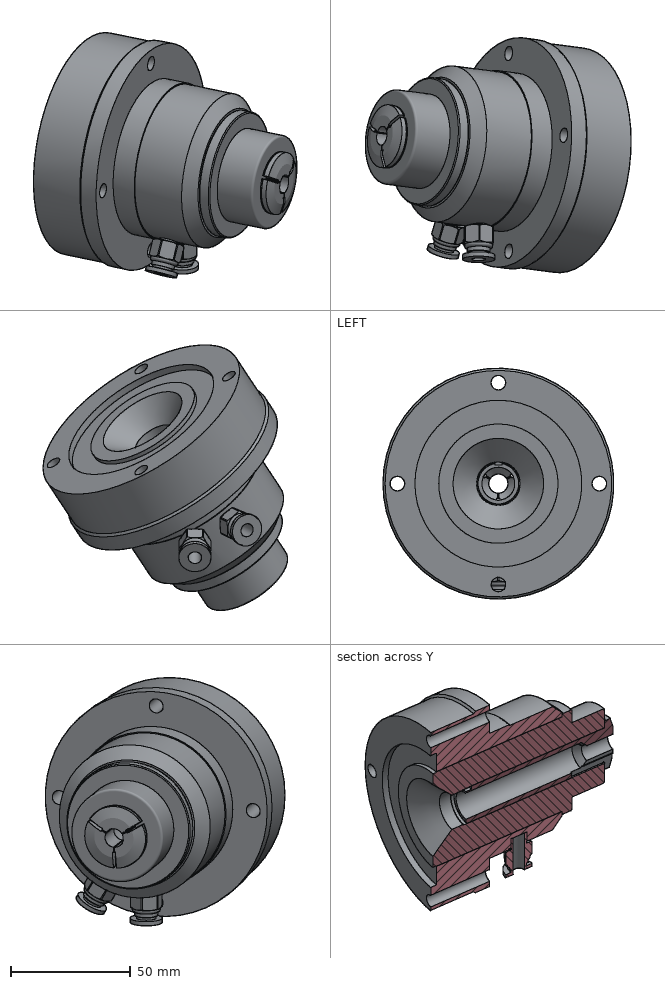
import cadquery as cq
import math


FLANGE_RADIUS = 48.5
BASE_RADIUS = 47.5
BASE_LENGTH = 22.1
FLANGE_FRONT = 30.5
COLLAR_RADIUS = 33.5
COLLAR_FRONT = 40.5
BARREL_RADIUS = 33.0
BARREL_FRONT = 62.9
HOUSING_FRONT = 67.8
SHOULDER_END_RADIUS = 27.6
RECESS_RADIUS = 35.0
RECESS_DEPTH = 3.0

MOUNT_HOLE_RADIUS = 3.0
MOUNT_CIRCLE_RADIUS = 42.4
MOUNT_HOLE_COUNT = 4

SPINDLE_RADIUS = 25.0
SPINDLE_REAR = 1.2
CONE_MOUTH_RADIUS = 19.0
CONE_END = 11.0
SPINDLE_BORE_RADIUS = 9.0
COLLET_SEAT_RADIUS = 9.3
COLLET_SEAT_START = 16.9
SPINDLE_FLANGE_RADIUS = 27.0
SPINDLE_FLANGE_FRONT = 72.8
SPINDLE_FLANGE_CHAMFER = 0.5
NOSE_RADIUS = 20.0
NOSE_FRONT = 89.7
NOSE_FILLET = 1.0

COLLET_REAR = 18.0
COLLET_REAR_CHAMFER = 0.8
COLLET_BACK_BORE_RADIUS = 6.9
COLLET_GRIP_RADIUS = 4.0
KEYWAY_WIDTH = 3.0
KEYWAY_LENGTH = 3.0
KEYWAY_FLOOR_RADIUS = 7.9
COLLET_CONE_START = 77.6
COLLET_CONE_END = 80.5
HEAD_NECK_RADIUS = 13.2
HEAD_NECK_LENGTH = 0.6
HEAD_RADIUS = 13.3
HEAD_TAPER_START = 92.5
HEAD_TIP_RADIUS = 8.5
COLLET_TIP = 94.0

SLOT_COUNT = 3
SLOT_START = 72.75
SLOT_NARROW_WIDTH = 0.5
SLOT_WIDE_WIDTH = 1.4
SLOT_STEP_RADIUS = 6.2

FITTING_STUB_RADIUS = 4.0
FITTING_STUB_START = 28.0
HEX_START = 33.7
HEX_END = 41.2
HEX_ACROSS_FLATS = 12.0
HEX_CORNER_RADIUS = 6.8
HEX_CHAMFER_ANGLE = 30.0
SLEEVE_RADIUS = 5.9
HEX_END_RADIUS = SLEEVE_RADIUS
SLEEVE_END = 42.9
STEM_RADIUS = 4.85
STEM_END = 44.5
NECK_RADIUS = 4.2
NECK_END = 45.7
RELEASE_DISC_RADIUS = 6.8
RELEASE_DISC_END = 47.5
TUBE_RADIUS = 2.8

FITTING_PLACES = [
    (45.5, 0.0, 0.0),
    (48.0, 30.0, 30.0),
]


def revolve_about_x(outline):
    """Turn an outline of (station, radius) a full circle about the X axis."""
    return outline.close().revolve(360, (0, 0, 0), (1, 0, 0))


def place_fitting(shape, station, tilt):
    """Move a shape built along +Z to its station, pointing downwards with a tilt towards -Y."""
    return shape.rotate((0, 0, 0), (1, 0, 0), 180 - tilt).translate((station, 0, 0))


def make_housing():
    flange_rear = BASE_LENGTH + FLANGE_RADIUS - BASE_RADIUS
    outline = (
        cq.Workplane("XY")
        .moveTo(RECESS_DEPTH, SPINDLE_RADIUS)
        .lineTo(RECESS_DEPTH, RECESS_RADIUS)
        .lineTo(0, RECESS_RADIUS)
        .lineTo(0, BASE_RADIUS)
        .lineTo(BASE_LENGTH, BASE_RADIUS)
        .lineTo(flange_rear, FLANGE_RADIUS)
        .lineTo(FLANGE_FRONT, FLANGE_RADIUS)
        .lineTo(FLANGE_FRONT, COLLAR_RADIUS)
        .lineTo(COLLAR_FRONT, COLLAR_RADIUS)
        .lineTo(COLLAR_FRONT, BARREL_RADIUS)
        .lineTo(BARREL_FRONT, BARREL_RADIUS)
        .lineTo(HOUSING_FRONT, SHOULDER_END_RADIUS)
        .lineTo(HOUSING_FRONT, SPINDLE_RADIUS)
    )
    mount_holes = (
        cq.Workplane("YZ")
        .polarArray(MOUNT_CIRCLE_RADIUS, 0, 360, MOUNT_HOLE_COUNT)
        .circle(MOUNT_HOLE_RADIUS)
        .extrude(FLANGE_FRONT)
    )
    housing = revolve_about_x(outline).cut(mount_holes)
    for station, tilt, _ in FITTING_PLACES:
        socket = (
            cq.Workplane("XY")
            .workplane(offset=FITTING_STUB_START)
            .circle(FITTING_STUB_RADIUS)
            .extrude(HEX_START - FITTING_STUB_START)
        )
        housing = housing.cut(place_fitting(socket, station, tilt))
    return housing


def make_spindle():
    flange_edge = SPINDLE_FLANGE_RADIUS - SPINDLE_FLANGE_CHAMFER
    fillet_offset = NOSE_FILLET * (1 - math.sqrt(0.5))
    outline = (
        cq.Workplane("XY")
        .moveTo(SPINDLE_REAR, CONE_MOUTH_RADIUS)
        .lineTo(SPINDLE_REAR, SPINDLE_RADIUS)
        .lineTo(HOUSING_FRONT, SPINDLE_RADIUS)
        .lineTo(HOUSING_FRONT, flange_edge)
        .lineTo(HOUSING_FRONT + SPINDLE_FLANGE_CHAMFER, SPINDLE_FLANGE_RADIUS)
        .lineTo(SPINDLE_FLANGE_FRONT - SPINDLE_FLANGE_CHAMFER, SPINDLE_FLANGE_RADIUS)
        .lineTo(SPINDLE_FLANGE_FRONT, flange_edge)
        .lineTo(SPINDLE_FLANGE_FRONT, NOSE_RADIUS)
        .lineTo(NOSE_FRONT - NOSE_FILLET, NOSE_RADIUS)
        .threePointArc(
            (NOSE_FRONT - fillet_offset, NOSE_RADIUS - fillet_offset),
            (NOSE_FRONT, NOSE_RADIUS - NOSE_FILLET),
        )
        .lineTo(NOSE_FRONT, COLLET_SEAT_RADIUS)
        .lineTo(COLLET_SEAT_START, COLLET_SEAT_RADIUS)
        .lineTo(COLLET_SEAT_START, SPINDLE_BORE_RADIUS)
        .lineTo(CONE_END, SPINDLE_BORE_RADIUS)
    )
    return revolve_about_x(outline)


def make_collet_slot():
    """One stepped slot above the X axis, from the slot start to the collet tip."""
    length = COLLET_TIP - SLOT_START
    narrow = cq.Workplane("XY").box(
        length, SLOT_NARROW_WIDTH, HEAD_RADIUS, centered=(False, True, False)
    )
    wide = (
        cq.Workplane("XY")
        .box(length, SLOT_WIDE_WIDTH, HEAD_RADIUS, centered=(False, True, False))
        .translate((0, 0, SLOT_STEP_RADIUS))
    )
    return narrow.union(wide).translate((SLOT_START, 0, 0))


def make_collet():
    """Slotted collet with a keyway in the top of its rear end."""
    neck_front = NOSE_FRONT + HEAD_NECK_LENGTH
    outline = (
        cq.Workplane("XY")
        .moveTo(COLLET_REAR, COLLET_BACK_BORE_RADIUS)
        .lineTo(COLLET_REAR, COLLET_SEAT_RADIUS - COLLET_REAR_CHAMFER)
        .lineTo(COLLET_REAR + COLLET_REAR_CHAMFER, COLLET_SEAT_RADIUS)
        .lineTo(NOSE_FRONT, COLLET_SEAT_RADIUS)
        .lineTo(NOSE_FRONT, HEAD_NECK_RADIUS)
        .lineTo(neck_front, HEAD_NECK_RADIUS)
        .lineTo(neck_front, HEAD_RADIUS)
        .lineTo(HEAD_TAPER_START, HEAD_RADIUS)
        .lineTo(COLLET_TIP, HEAD_TIP_RADIUS)
        .lineTo(COLLET_TIP, COLLET_GRIP_RADIUS)
        .lineTo(COLLET_CONE_END, COLLET_GRIP_RADIUS)
        .lineTo(COLLET_CONE_START, COLLET_BACK_BORE_RADIUS)
    )
    keyway = (
        cq.Workplane("XY")
        .box(KEYWAY_LENGTH, KEYWAY_WIDTH, COLLET_SEAT_RADIUS, centered=(False, True, False))
        .translate((COLLET_REAR, 0, KEYWAY_FLOOR_RADIUS))
    )
    collet = revolve_about_x(outline).cut(keyway)
    for i in range(SLOT_COUNT):
        angle = 180 + i * 360 / SLOT_COUNT
        collet = collet.cut(make_collet_slot().rotate((0, 0, 0), (1, 0, 0), angle))
    return collet


def make_fitting_hexagon():
    """Hexagon along +Z with its corners turned down and both ends chamfered."""
    sharp_corner_diameter = HEX_ACROSS_FLATS / math.cos(math.pi / 6)
    chamfer_rise = math.tan(math.radians(HEX_CHAMFER_ANGLE))
    chamfer_height = (HEX_CORNER_RADIUS - HEX_END_RADIUS) * chamfer_rise
    hexagon = (
        cq.Workplane("XY")
        .workplane(offset=HEX_START)
        .polygon(6, sharp_corner_diameter)
        .extrude(HEX_END - HEX_START)
    )
    turned_envelope = (
        cq.Workplane("XZ")
        .moveTo(0, HEX_START)
        .lineTo(HEX_END_RADIUS, HEX_START)
        .lineTo(HEX_CORNER_RADIUS, HEX_START + chamfer_height)
        .lineTo(HEX_CORNER_RADIUS, HEX_END - chamfer_height)
        .lineTo(HEX_END_RADIUS, HEX_END)
        .lineTo(0, HEX_END)
        .close()
        .revolve(360, (0, 0, 0), (0, 1, 0))
    )
    return hexagon.intersect(turned_envelope)


def make_fitting(station, tilt, hexagon_turn):
    sleeve_rounding = SLEEVE_RADIUS - STEM_RADIUS
    rounding_offset = sleeve_rounding * (1 - math.sqrt(0.5))
    turned_part = (
        cq.Workplane("XZ")
        .moveTo(0, FITTING_STUB_START)
        .lineTo(FITTING_STUB_RADIUS, FITTING_STUB_START)
        .lineTo(FITTING_STUB_RADIUS, HEX_END)
        .lineTo(SLEEVE_RADIUS, HEX_END)
        .lineTo(SLEEVE_RADIUS, SLEEVE_END - sleeve_rounding)
        .threePointArc(
            (SLEEVE_RADIUS - rounding_offset, SLEEVE_END - rounding_offset),
            (STEM_RADIUS, SLEEVE_END),
        )
        .lineTo(STEM_RADIUS, STEM_END)
        .lineTo(NECK_RADIUS, STEM_END)
        .lineTo(NECK_RADIUS, NECK_END)
        .lineTo(RELEASE_DISC_RADIUS, NECK_END)
        .lineTo(RELEASE_DISC_RADIUS, RELEASE_DISC_END)
        .lineTo(0, RELEASE_DISC_END)
        .close()
        .revolve(360, (0, 0, 0), (0, 1, 0))
    )
    tube_bore = (
        cq.Workplane("XY")
        .workplane(offset=FITTING_STUB_START)
        .circle(TUBE_RADIUS)
        .extrude(RELEASE_DISC_END - FITTING_STUB_START)
    )
    hexagon = make_fitting_hexagon().rotate((0, 0, 0), (0, 0, 1), hexagon_turn)
    return place_fitting(turned_part.union(hexagon).cut(tube_bore), station, tilt)


housing = make_housing()
spindle = make_spindle()
collet = make_collet()
fittings = [make_fitting(*place) for place in FITTING_PLACES]

result = cq.Compound.makeCompound(
    [
        *housing.solids().vals(),
        *spindle.solids().vals(),
        *collet.solids().vals(),
        *[fitting.solids().val() for fitting in fittings],
    ]
)